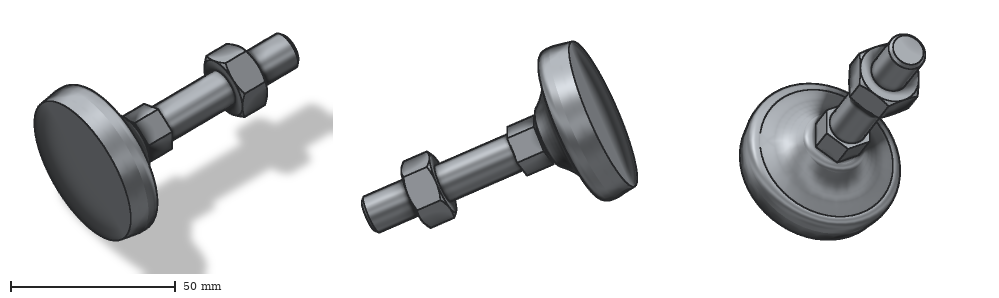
import cadquery as cq
import math

total_length = 79

foot_diameter = 50.0
underside_diameter = 48.0
taper_end = 6.0
rim_band_end = 8.0
shoulder_y = 11.0
shoulder_radius = 21.7
flare_top_y = 17.7
flare_top_radius = 10.2
flare_sagitta = 1.3
crown_y = 19.0
crown_radius = 7.9
crown_bulge = 0.3
rim_bulge = 1.0

neck_diameter = 10.0
stem_diameter = 12.0
stem_chamfer = 1.0
wrench_hex_start = 20.0
wrench_hex_end = 29.0
wrench_hex_flats = 14.0

nut_start = 53.95
nut_end = 63.5
nut_flats = 19.0
nut_chamfer_angle = 30


def bulged_mid_point(start, end, bulge):
    """Arc middle point; positive bulge lies left of the direction start to end."""
    dx = end[0] - start[0]
    dy = end[1] - start[1]
    chord = math.hypot(dx, dy)
    mid_x = (start[0] + end[0]) / 2
    mid_y = (start[1] + end[1]) / 2
    return (mid_x - bulge * dy / chord, mid_y + bulge * dx / chord)


def cylinder(diameter, start, end):
    """Round bar along Y."""
    base = cq.Workplane("XZ", origin=(0, start, 0))
    return base.circle(diameter / 2).extrude(start - end)


def hexagon(flats, start, end):
    """Hexagonal bar along Y with flats facing +X and -X and corners on Z."""
    corner_radius = flats / math.sqrt(3)
    corners = []
    for i in range(6):
        angle = math.radians(90 + 60 * i)
        corners.append((corner_radius * math.cos(angle), corner_radius * math.sin(angle)))
    base = cq.Workplane("XZ", origin=(0, start, 0))
    return base.polyline(corners).close().extrude(start - end)


def revolve_about_y(profile):
    return profile.close().revolve(360, (0, 0, 0), (0, 1, 0))


def make_foot():
    """Tapered rim, rounded shoulder and concave flare up to a rounded crown."""
    rim_top = (foot_diameter / 2, rim_band_end)
    shoulder = (shoulder_radius, shoulder_y)
    flare_top = (flare_top_radius, flare_top_y)
    crown_edge = (crown_radius, crown_y)
    profile = (
        cq.Workplane("XY")
        .lineTo(underside_diameter / 2, 0)
        .lineTo(foot_diameter / 2, taper_end)
        .lineTo(*rim_top)
        .threePointArc(bulged_mid_point(rim_top, shoulder, -rim_bulge), shoulder)
        .threePointArc(bulged_mid_point(shoulder, flare_top, flare_sagitta), flare_top)
        .threePointArc(bulged_mid_point(flare_top, crown_edge, -crown_bulge), crown_edge)
        .lineTo(0, crown_y)
    )
    return revolve_about_y(profile)


def make_stem():
    """Neck, wrench hexagon and chamfered rod."""
    neck = cylinder(neck_diameter, crown_y, wrench_hex_start)
    wrench_hex = hexagon(wrench_hex_flats, wrench_hex_start, wrench_hex_end)
    rod = cylinder(stem_diameter, wrench_hex_end, total_length)
    rod = rod.faces(">Y").chamfer(stem_chamfer)
    return neck.union(wrench_hex).union(rod)


def make_nut():
    """Hexagon whose corners are cut by a cone at each end."""
    face_radius = nut_flats / 2
    corner_radius = nut_flats / math.sqrt(3)
    drop = (corner_radius - face_radius) * math.tan(math.radians(nut_chamfer_angle))
    envelope = (
        cq.Workplane("XY")
        .moveTo(0, nut_start)
        .lineTo(face_radius, nut_start)
        .lineTo(corner_radius, nut_start + drop)
        .lineTo(corner_radius, nut_end - drop)
        .lineTo(face_radius, nut_end)
        .lineTo(0, nut_end)
    )
    return hexagon(nut_flats, nut_start, nut_end).intersect(revolve_about_y(envelope))


result = make_foot().union(make_stem()).union(make_nut())